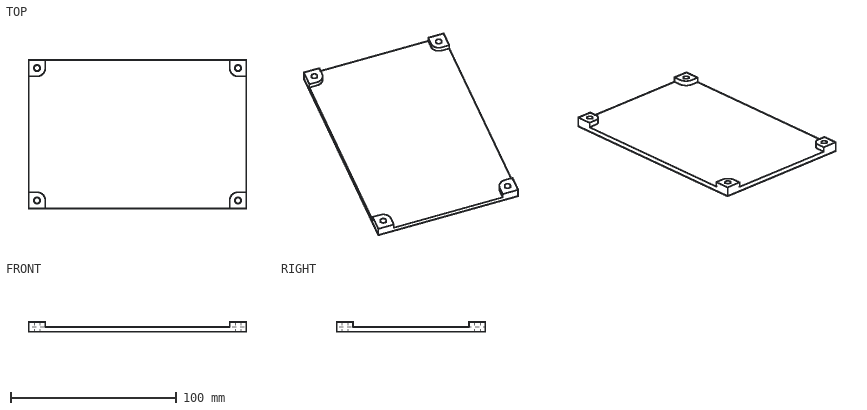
import cadquery as cq

length = 131.5
width = 90.0
plate_thickness = 3.0

total_height = 6.0
pad_side = 10.0
pad_corner_radius = 5.0
hole_diameter = 3.6
hole_inset = pad_side / 2


def make_plate():
    """Flat rectangular plate centred on the origin, bottom face at Z = 0."""
    return cq.Workplane("XY").box(length, width, plate_thickness, centered=(True, True, False))


def make_corner_pad(x_side, y_side):
    """Full-height square pad in one corner, with its inward vertical edge rounded."""
    pad_x = x_side * (length - pad_side) / 2
    pad_y = y_side * (width - pad_side) / 2
    inward_edge = cq.selectors.NearestToPointSelector(
        (pad_x - x_side * pad_side / 2, pad_y - y_side * pad_side / 2, total_height / 2)
    )
    return (
        cq.Workplane("XY")
        .box(pad_side, pad_side, total_height, centered=(True, True, False))
        .translate((pad_x, pad_y, 0))
        .edges(inward_edge)
        .fillet(pad_corner_radius)
    )


def drill_corner_holes(body):
    """Drill one hole through the full height of each corner pad."""
    hole_cutters = (
        cq.Workplane("XY")
        .rect(length - 2 * hole_inset, width - 2 * hole_inset, forConstruction=True)
        .vertices()
        .circle(hole_diameter / 2)
        .extrude(total_height)
    )
    return body.cut(hole_cutters)


body = make_plate()
for x_side in (-1, 1):
    for y_side in (-1, 1):
        body = body.union(make_corner_pad(x_side, y_side))

result = drill_corner_holes(body)